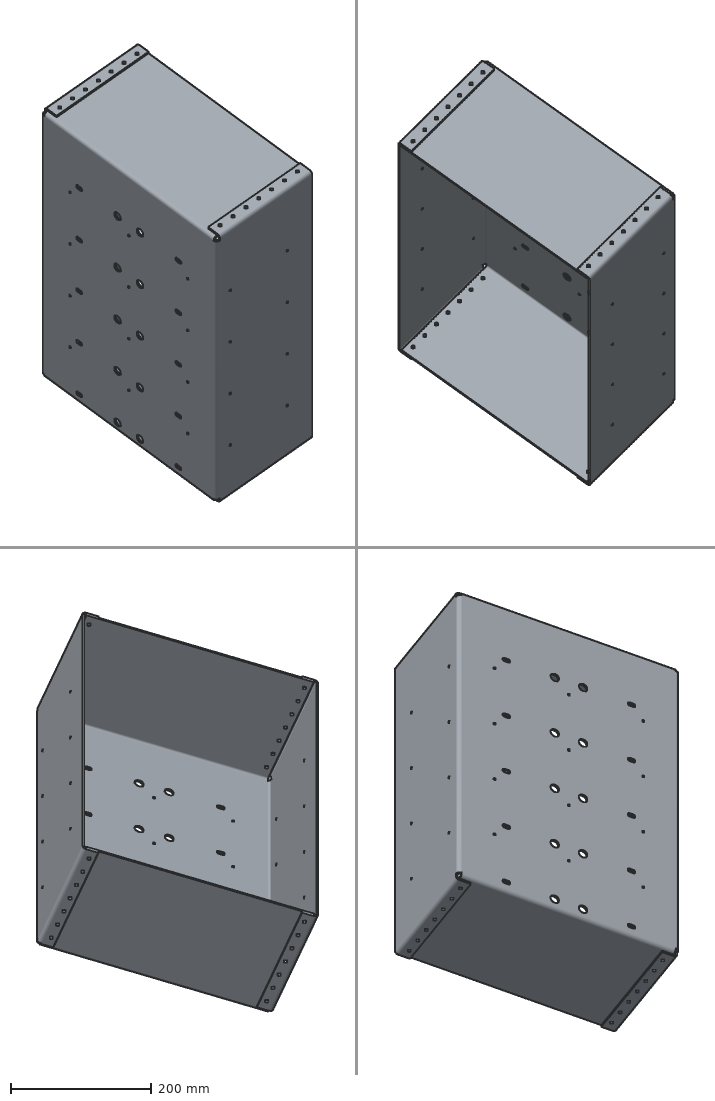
import cadquery as cq

width = 358.5
depth = 190.5
height = 544.0
sheet = 3.05
inner_radius = 3.1
bend_radius = inner_radius + sheet
tab_width = 24.5

front = -depth / 2
back = depth / 2
corner_relief = 1.0
fold_end = front + bend_radius
body_height = height - 2 * sheet
flat_width = width - 2 * bend_radius
flat_height = body_height - 2 * bend_radius
tab_start = fold_end + corner_relief

row_pitch = 105.0
large_hole_diameter = 13.5
large_hole_x = 23.0
slot_x = 101.0
slot_length = 12.0
slot_height = 6.5
top_row_z = 169.0
row_count = 5

screw_diameter = 3.0
screw_front_x = 120.0
screw_top_z = 146.5
screw_row_count = 4
screw_side_ys = (-67.5, 45.5)

rivet_diameter = 5.0
rivet_x = 163.5
rivet_pitch = 25.5
rivet_count = 7
rivet_middle_y = 4.0


def block(size_x, size_z, y_start, y_end):
    """Box centred in X and Z, between two Y positions."""
    length_y = y_end - y_start
    return cq.Workplane("XY").box(size_x, length_y, size_z).translate((0, (y_start + y_end) / 2, 0))


def front_and_sides():
    """Front panel folded back into the left and right walls."""
    outer = block(width, flat_height, front, back).edges("|Z and <Y").fillet(bend_radius)
    inner = block(width - 2 * sheet, flat_height, front + sheet, back)
    return outer.cut(inner.edges("|Z and <Y").fillet(inner_radius))


def front_and_caps():
    """Front panel folded back into the top and bottom walls."""
    outer = block(flat_width, body_height, front, back).edges("|X and <Y").fillet(bend_radius)
    inner = block(flat_width, body_height - 2 * sheet, front + sheet, back)
    return outer.cut(inner.edges("|X and <Y").fillet(inner_radius))


def sides_and_tabs():
    """Side walls whose ends fold inwards as tabs over the top and bottom walls."""
    outer = block(width, height, tab_start, back).edges("|Y").fillet(bend_radius)
    inner = block(width - 2 * sheet, body_height, tab_start, back).edges("|Y").fillet(inner_radius)
    gap_between_tabs = block(width - 2 * tab_width, height, tab_start, back)
    return outer.cut(inner).cut(gap_between_tabs)


def front_plane():
    """Workplane just behind the front panel, X to the right and Z up."""
    return cq.Workplane("XZ", origin=(0, fold_end, 0))


def row_heights(top, count):
    return [top - row * row_pitch for row in range(count)]


def front_cutters():
    """Large holes, slots and screw holes of the front panel."""
    rows = row_heights(top_row_z, row_count)
    screw_rows = row_heights(screw_top_z, screw_row_count)
    large_points = [(x, z) for x in (-large_hole_x, large_hole_x) for z in rows]
    slot_points = [(x, z) for x in (-slot_x, slot_x) for z in rows]
    screw_points = [(x, z) for x in (-screw_front_x, 0, screw_front_x) for z in screw_rows]
    large = front_plane().pushPoints(large_points).circle(large_hole_diameter / 2).extrude(2 * bend_radius)
    slots = front_plane().pushPoints(slot_points).slot2D(slot_length, slot_height).extrude(2 * bend_radius)
    screws = front_plane().pushPoints(screw_points).circle(screw_diameter / 2).extrude(2 * bend_radius)
    return large.add(slots).add(screws).combine()


def side_cutters():
    """Screw holes through both side walls."""
    points = [(y, z) for y in screw_side_ys for z in row_heights(screw_top_z, screw_row_count)]
    plane = cq.Workplane("YZ").pushPoints(points)
    return plane.circle(screw_diameter / 2).extrude(width / 2, both=True)


def rivet_cutters():
    """Rivet holes through the tabs and the walls beneath them, top and bottom."""
    plane = cq.Workplane("XY").center(0, rivet_middle_y)
    plane = plane.rarray(2 * rivet_x, rivet_pitch, 2, rivet_count)
    return plane.circle(rivet_diameter / 2).extrude(height / 2, both=True)


cabinet = front_and_sides().union(front_and_caps()).union(sides_and_tabs())
result = cabinet.cut(front_cutters()).cut(side_cutters()).cut(rivet_cutters())